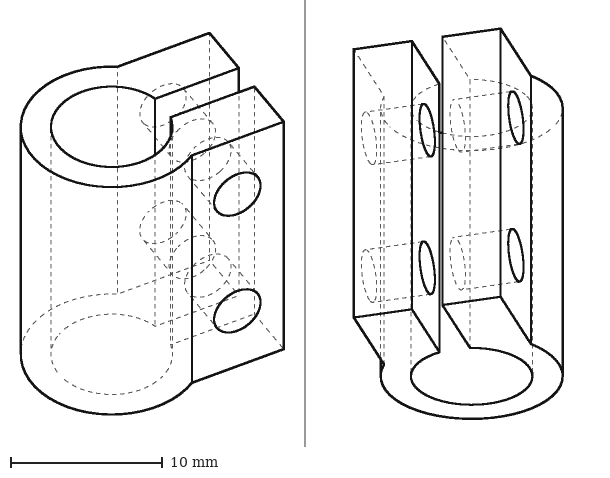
import cadquery as cq

height = 20.0
outer_diameter = 12.0
bore_diameter = 8.0

lugs_width = 10.1
lug_end_y = 10.15
slot_width = 2.1

bolt_hole_diameter = 3.5
bolt_hole_y = 6.65
bolt_hole_spacing = 10.25


def make_body():
    """Cylinder centred on Z, joined to a rectangular block reaching toward +Y."""
    barrel = cq.Workplane("XY").circle(outer_diameter / 2).extrude(height)
    lugs = cq.Workplane("XY").center(0, lug_end_y / 2).rect(lugs_width, lug_end_y).extrude(height)
    return barrel.union(lugs)


def make_bore():
    return cq.Workplane("XY").circle(bore_diameter / 2).extrude(height)


def make_slot():
    """Gap from the bore axis to the free ends of the lugs."""
    return cq.Workplane("XY").center(0, lug_end_y / 2).rect(slot_width, lug_end_y).extrude(height)


def make_bolt_holes():
    """Two through holes, spaced evenly about mid-height."""
    offset = bolt_hole_spacing / 2
    return (
        cq.Workplane("YZ")
        .pushPoints([(bolt_hole_y, height / 2 + side * offset) for side in (-1, 1)])
        .circle(bolt_hole_diameter / 2)
        .extrude(lugs_width / 2, both=True)
    )


result = make_body().cut(make_bore()).cut(make_slot()).cut(make_bolt_holes())